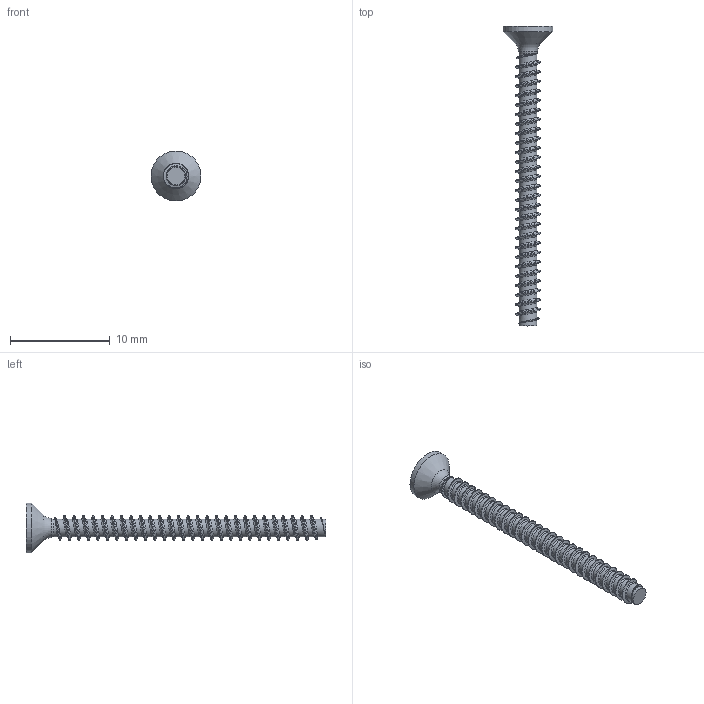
import cadquery as cq
import math

LENGTH = 30.0

HEAD_RADIUS = 2.5
HEAD_RIM = 0.55
CONE_ANGLE = math.radians(45)
NECK_RADIUS = 0.95
NECK_FILLET = 1.1
NECK_TAPER = 0.2

CORE_RADIUS = 0.9

THREAD_RADIUS = 1.25
PITCH = 0.95
FADE = 1.1
THREAD_START = 2.4
THREAD_END = 29.95
CREST_DEPTH_AT_X = 3.63
CURVE_STEPS_PER_TURN = 12

ROOT_RADIUS = 0.87
FLANK_RADIUS = 0.98
ROOT_HALF_WIDTH = 0.32
FLANK_HALF_WIDTH = 0.11
CREST_HALF_WIDTH = 0.04
END_SIZE = 0.05

TOOTH_CORNERS = [
    (ROOT_RADIUS, -ROOT_HALF_WIDTH),
    (FLANK_RADIUS, -FLANK_HALF_WIDTH),
    (THREAD_RADIUS, -CREST_HALF_WIDTH),
    (THREAD_RADIUS, CREST_HALF_WIDTH),
    (FLANK_RADIUS, FLANK_HALF_WIDTH),
    (ROOT_RADIUS, ROOT_HALF_WIDTH),
]


def head_and_core():
    """Revolved head, filleted neck and cylindrical core."""
    def fillet_radius_at(angle):
        return NECK_RADIUS + NECK_FILLET * (1 - math.cos(angle))

    cone_end_radius = fillet_radius_at(CONE_ANGLE)
    cone_end = HEAD_RIM + (HEAD_RADIUS - cone_end_radius) / math.tan(CONE_ANGLE)
    fillet_end = cone_end + NECK_FILLET * math.sin(CONE_ANGLE)
    half_angle = CONE_ANGLE / 2
    fillet_middle = (fillet_radius_at(half_angle), fillet_end - NECK_FILLET * math.sin(half_angle))
    return (
        cq.Workplane("XZ")
        .lineTo(HEAD_RADIUS, 0)
        .lineTo(HEAD_RADIUS, HEAD_RIM)
        .lineTo(cone_end_radius, cone_end)
        .threePointArc(fillet_middle, (NECK_RADIUS, fillet_end))
        .lineTo(CORE_RADIUS, fillet_end + NECK_TAPER)
        .lineTo(CORE_RADIUS, LENGTH)
        .lineTo(0, LENGTH)
        .close()
        .revolve(360, (0, 0, 0), (0, 1, 0))
    )


def tooth_size(depth):
    """Share of the full tooth at a depth: 1 along the thread, fading at both ends."""
    distance_to_end = min(depth - THREAD_START, THREAD_END - depth)
    return max(END_SIZE, min(1, distance_to_end / FADE))


def corner_point(corner, depth):
    """Place of a tooth corner where the middle of the tooth is at the given depth."""
    radius, offset = corner
    size = tooth_size(depth)
    faded_radius = ROOT_RADIUS + (radius - ROOT_RADIUS) * size
    angle = 2 * math.pi * (depth - CREST_DEPTH_AT_X) / PITCH
    return cq.Vector(
        faded_radius * math.cos(angle),
        faded_radius * math.sin(angle),
        depth + offset * size,
    )


def thread():
    """Solid helical tooth, closed by ruled faces between the curves of its corners."""
    thread_length = THREAD_END - THREAD_START
    steps = math.ceil(thread_length / PITCH * CURVE_STEPS_PER_TURN)
    depths = [THREAD_START + thread_length * i / steps for i in range(steps + 1)]
    curves = [
        cq.Edge.makeSpline([corner_point(corner, depth) for depth in depths])
        for corner in TOOTH_CORNERS
    ]
    next_curves = curves[1:] + curves[:1]
    faces = [cq.Face.makeRuledSurface(a, b) for a, b in zip(curves, next_curves)]
    for depth in (THREAD_START, THREAD_END):
        corners = [corner_point(corner, depth) for corner in TOOTH_CORNERS]
        faces.append(cq.Face.makeFromWires(cq.Wire.makePolygon(corners, close=True)))
    return cq.Workplane(cq.Solid.makeSolid(cq.Shell.makeShell(faces)))


screw = head_and_core().union(thread()).solids()
result = screw.rotate((0, 0, 0), (1, 0, 0), 90)